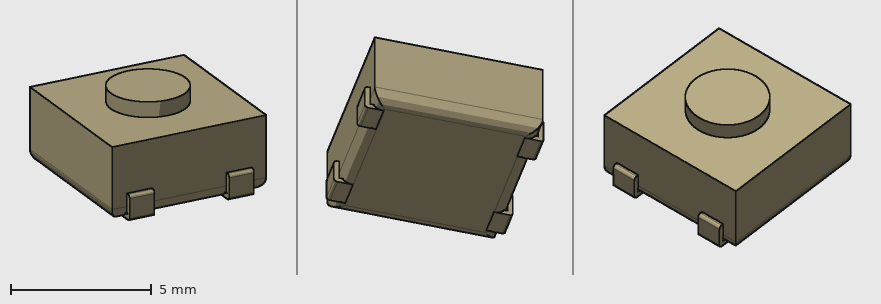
import cadquery as cq

housing_width = 6.2
housing_height = 2.9
bottom_edge_radius = 0.5

button_diameter = 3.0
button_height = 0.6

lead_thickness = 0.2
lead_width = 1.0
lead_height = 1.0
lead_edge_radius = 0.12
lead_pitch = 4.0

housing_side_x = housing_width / 2
lead_outer_x = housing_side_x + lead_thickness
foot_end_x = housing_side_x - bottom_edge_radius


def make_lead(side, y_center):
    """L-shaped lead with its outer edges rounded; side is +1 or -1 along X."""
    profile = [
        (side * foot_end_x, 0),
        (side * lead_outer_x, 0),
        (side * lead_outer_x, lead_height),
        (side * housing_side_x, lead_height),
        (side * housing_side_x, lead_thickness),
        (side * foot_end_x, lead_thickness),
    ]
    outer_face = ">X" if side > 0 else "<X"
    return (
        cq.Workplane("XZ", origin=(0, y_center, 0))
        .polyline(profile)
        .close()
        .extrude(lead_width / 2, both=True)
        .faces(outer_face)
        .edges("|Y")
        .fillet(lead_edge_radius)
    )


def make_housing(leads):
    """Square block with a rounded bottom rim, recessed to seat the lead feet."""
    block = (
        cq.Workplane("XY")
        .rect(housing_width, housing_width)
        .extrude(housing_height)
        .faces("<Z")
        .edges()
        .fillet(bottom_edge_radius)
    )
    for lead in leads:
        block = block.cut(lead)
    return block


def make_button():
    """Round push button on top of the housing."""
    return (
        cq.Workplane("XY", origin=(0, 0, housing_height))
        .circle(button_diameter / 2)
        .extrude(button_height)
    )


leads = []
for side in (-1, 1):
    for row in (-1, 1):
        leads.append(make_lead(side, row * lead_pitch / 2))

housing = make_housing(leads)
button = make_button()

result = cq.Compound.makeCompound(
    [housing.val(), button.val(), *[lead.val() for lead in leads]]
)